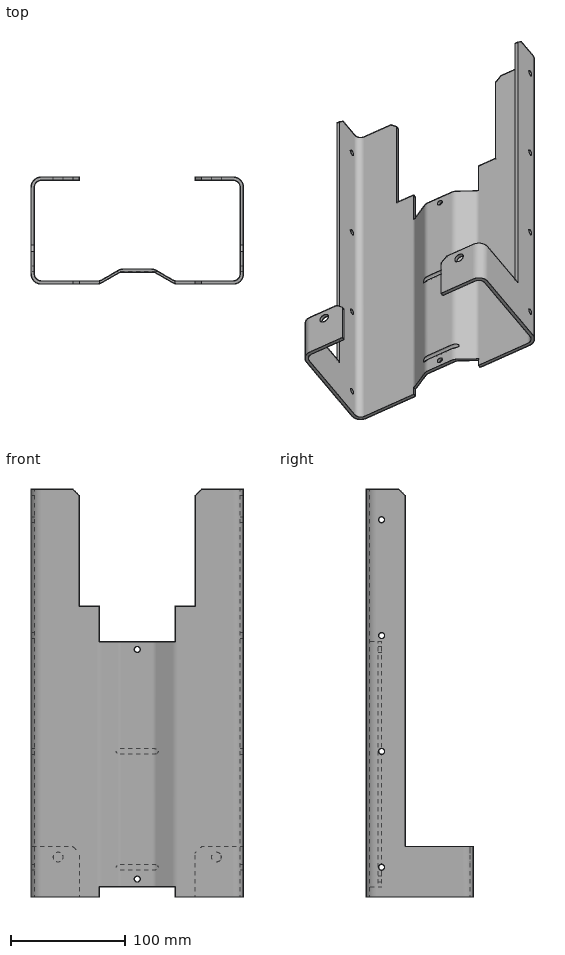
import cadquery as cq
import math

width = 185.5
depth = 93.5
height = 356.0

sheet = 3.0
inner_radius = 6.0
outer_radius = inner_radius + sheet
corner_cut = 5.7

step_rise = 10.5
step_angle = math.radians(30)
step_foot = 33.0
web_bottom = 9.0
web_top = 223.0
web_hole_inset = 6.8

shoulder_height = 254.0
flange_inner = 50.5
side_depth = 34.0
arm_height = 44.0

small_hole = 5.0
side_hole_setback = 13.5
side_hole_first = 26.0
side_hole_pitch = 101.0
side_hole_count = 4
lip_hole = 8.5
lip_hole_x = 69.0
lip_hole_height = 35.0


def round_bends(solid, points, radius):
    """Fillet the vertical edges at the given points and at their mirror images."""
    for x, y in points:
        for side in (-1, 1):
            near = cq.selectors.NearestToPointSelector((side * x, y, height / 2))
            solid = solid.edges("|Z").edges(near).fillet(radius)
    return solid


def channel():
    """Full-height channel of bent sheet, with rear lips and a stepped front wall."""
    half = width / 2
    step_run = step_rise / math.tan(step_angle)
    bend_shift = sheet * math.tan(step_angle / 2)
    inner_foot = step_foot - bend_shift
    right_half = [
        (step_foot - step_run, step_rise),
        (step_foot, 0),
        (half, 0),
        (half, depth),
        (flange_inner, depth),
        (flange_inner, depth - sheet),
        (half - sheet, depth - sheet),
        (half - sheet, sheet),
        (inner_foot, sheet),
        (inner_foot - step_run, step_rise + sheet),
    ]
    left_half = [(-x, y) for x, y in reversed(right_half)]
    body = cq.Workplane("XY").polyline(right_half + left_half).close().extrude(height)

    body = round_bends(body, [right_half[i] for i in (1, 2, 3, 9)], outer_radius)
    return round_bends(body, [right_half[i] for i in (0, 6, 7, 8)], inner_radius)


def front_outline():
    """Silhouette of the front wall, extruded through the whole depth."""
    right_half = [
        (step_foot, web_bottom),
        (step_foot, 0),
        (width / 2, 0),
        (width / 2, height),
        (flange_inner + corner_cut, height),
        (flange_inner, height - corner_cut),
        (flange_inner, shoulder_height),
        (step_foot, shoulder_height),
        (step_foot, web_top),
    ]
    left_half = [(-x, z) for x, z in reversed(right_half)]
    return cq.Workplane("XZ").polyline(right_half + left_half).close().extrude(-depth)


def side_outline():
    """Silhouette of the side walls: tall flange with a low arm reaching back."""
    return (
        cq.Workplane("YZ")
        .polyline([
            (0, 0),
            (depth, 0),
            (depth, arm_height),
            (side_depth, arm_height),
            (side_depth, height - corner_cut),
            (side_depth - corner_cut, height),
            (0, height),
        ])
        .close()
        .extrude(width / 2, both=True)
    )


def lip_corner_cuts():
    """Wedges that bevel the upper free corner of each rear lip."""
    wedge = (
        cq.Workplane("XZ", origin=(0, depth - sheet, 0))
        .polyline([
            (flange_inner, arm_height),
            (flange_inner + corner_cut, arm_height),
            (flange_inner, arm_height - corner_cut),
        ])
        .close()
        .extrude(-sheet)
    )
    return wedge.union(wedge.mirror("YZ"))


def side_holes():
    """Row of holes through both side walls."""
    points = [(side_hole_setback, side_hole_first + i * side_hole_pitch) for i in range(side_hole_count)]
    return cq.Workplane("YZ").pushPoints(points).circle(small_hole / 2).extrude(width / 2, both=True)


def web_holes():
    """One hole near each end of the raised web."""
    points = [(0, web_bottom + web_hole_inset), (0, web_top - web_hole_inset)]
    return cq.Workplane("XZ").pushPoints(points).circle(small_hole / 2).extrude(-depth)


def lip_holes():
    """One hole through each rear lip."""
    points = [(side * lip_hole_x, lip_hole_height) for side in (-1, 1)]
    return (
        cq.Workplane("XZ", origin=(0, depth - sheet, 0))
        .pushPoints(points)
        .circle(lip_hole / 2)
        .extrude(-sheet)
    )


result = channel().intersect(front_outline()).intersect(side_outline())
for cutter in (lip_corner_cuts(), side_holes(), web_holes(), lip_holes()):
    result = result.cut(cutter)